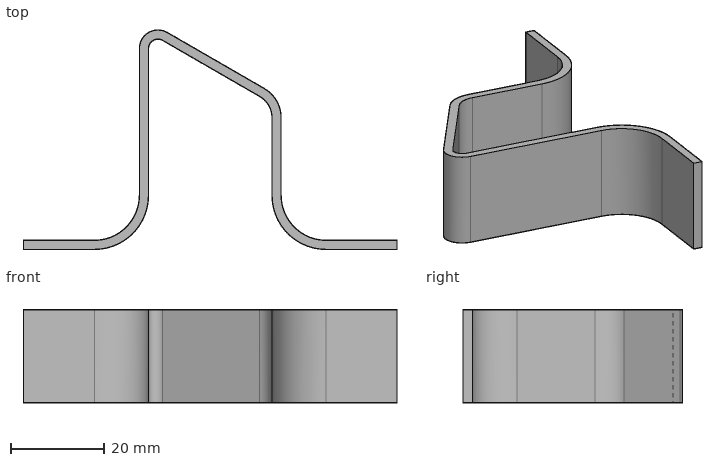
import cadquery as cq
import math

length = 80.0
depth = 47.0
strip_width = 20.0
thickness = 2.0
hat_width = 30.4
roof_angle = math.radians(30)
foot_inner_radius = 9.6
peak_inner_radius = 2.0
shoulder_inner_radius = 5.2

outer_x = hat_width / 2
inner_x = outer_x - thickness
end_x = length / 2

peak_radius = peak_inner_radius + thickness
peak_center_x = -outer_x + peak_radius
peak_center_y = depth - peak_radius


def roof_y(x, offset):
    """Height of the roof face at x, at the given distance from the peak bend centre."""
    return peak_center_y + offset / math.cos(roof_angle) - (x - peak_center_x) * math.tan(roof_angle)


left_foot_inner = (-outer_x, thickness)
left_foot_outer = (-inner_x, 0)
peak_outer = (-outer_x, roof_y(-outer_x, peak_radius))
peak_inner = (-inner_x, roof_y(-inner_x, peak_inner_radius))
shoulder_outer = (outer_x, roof_y(outer_x, peak_radius))
shoulder_inner = (inner_x, roof_y(inner_x, peak_inner_radius))
right_foot_inner = (outer_x, thickness)
right_foot_outer = (inner_x, 0)

strip = (
    cq.Workplane("XY")
    .polyline([
        (-end_x, thickness),
        left_foot_inner,
        peak_outer,
        shoulder_outer,
        right_foot_inner,
        (end_x, thickness),
        (end_x, 0),
        right_foot_outer,
        shoulder_inner,
        peak_inner,
        left_foot_outer,
        (-end_x, 0),
    ])
    .close()
    .extrude(strip_width)
)


def round_bend(body, inner_corner, outer_corner, inner_radius):
    """Round both edges of a bend about a common axis, keeping the thickness constant."""
    for corner, radius in ((inner_corner, inner_radius), (outer_corner, inner_radius + thickness)):
        edge_middle = (*corner, strip_width / 2)
        body = body.edges(cq.selectors.NearestToPointSelector(edge_middle)).fillet(radius)
    return body


strip = round_bend(strip, left_foot_inner, left_foot_outer, foot_inner_radius)
strip = round_bend(strip, right_foot_inner, right_foot_outer, foot_inner_radius)
strip = round_bend(strip, peak_inner, peak_outer, peak_inner_radius)
strip = round_bend(strip, shoulder_inner, shoulder_outer, shoulder_inner_radius)

result = strip